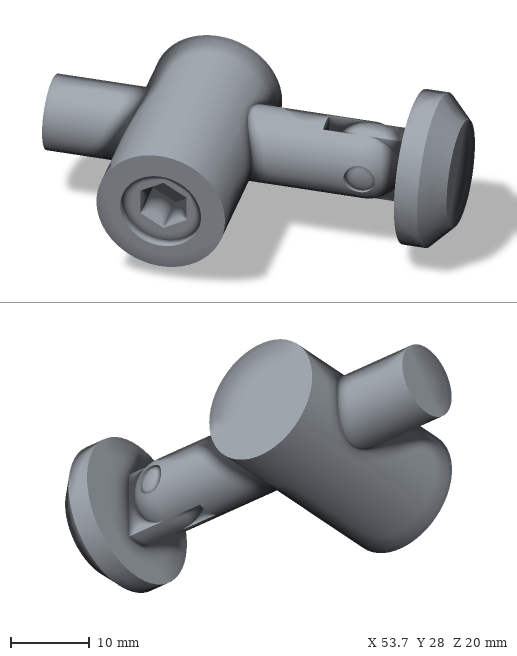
import cadquery as cq


BARREL_DIAMETER = 16.9
BARREL_FRONT_Y = -18.0
BARREL_LENGTH = 28.0
RECESS_DIAMETER = 10.6
RECESS_DEPTH = 1.35
HEX_ACROSS_FLATS = 6.0
HEX_DEPTH = 6.0

ROD_DIAMETER = 9.85
ROD_RADIUS = ROD_DIAMETER / 2
ROD_START_X = -19.1
PIVOT_X = 22.5
SLOT_START_X = 16.9
TONGUE_THICKNESS = 3.1

PIN_DIAMETER = 4.0
PIN_DOME_RADIUS = 4.5
PIN_LENGTH = 2 * PIN_DOME_RADIUS

FOOT_DIAMETER = 20.0
FOOT_START_X = 28.5
FOOT_END_X = 34.6
FOOT_THICKNESS = FOOT_END_X - FOOT_START_X
FOOT_CHAMFER = FOOT_THICKNESS / 2


def x_cylinder(diameter, start_x, end_x):
    """Cylinder on the X axis between two X positions."""
    return cq.Workplane("YZ", origin=(start_x, 0, 0)).circle(diameter / 2).extrude(end_x - start_x)


def y_cylinder(diameter, center_x, length):
    """Cylinder along Y, centred on the rod axis at the given X position."""
    return cq.Workplane("XZ", origin=(center_x, 0, 0)).circle(diameter / 2).extrude(length / 2, both=True)


def x_slab(start_x, end_x):
    """Flat slab of tongue thickness, taller than the rod."""
    return (
        cq.Workplane("XY")
        .box(end_x - start_x, TONGUE_THICKNESS, 2 * ROD_DIAMETER, centered=(False, True, True))
        .translate((start_x, 0, 0))
    )


def pivot_sphere(radius):
    """Sphere centred on the pivot."""
    return cq.Workplane("XY").sphere(radius).translate((PIVOT_X, 0, 0))


def make_clamp():
    """Barrel and rod in one piece, with the screw socket, tongue slot and pin hole."""
    barrel = (
        cq.Workplane("XZ", origin=(0, BARREL_FRONT_Y, 0))
        .circle(BARREL_DIAMETER / 2)
        .extrude(-BARREL_LENGTH)
    )
    rod = x_cylinder(ROD_DIAMETER, ROD_START_X, PIVOT_X).union(pivot_sphere(ROD_RADIUS))

    recess = (
        cq.Workplane("XZ", origin=(0, BARREL_FRONT_Y, 0))
        .circle(RECESS_DIAMETER / 2)
        .extrude(-RECESS_DEPTH)
    )
    hexagon = (
        cq.Workplane("XZ", origin=(0, BARREL_FRONT_Y + RECESS_DEPTH, 0))
        .polygon(6, HEX_ACROSS_FLATS, circumscribed=True)
        .extrude(-HEX_DEPTH)
    )
    slot = x_slab(SLOT_START_X, FOOT_START_X)
    pin_hole = y_cylinder(PIN_DIAMETER, PIVOT_X, 2 * ROD_DIAMETER)
    return barrel.union(rod).cut(recess).cut(hexagon).cut(slot).cut(pin_hole)


def make_foot():
    """Foot with the tongue and pivot pin that join it to the rod."""
    disc = x_cylinder(FOOT_DIAMETER, FOOT_START_X, FOOT_END_X).faces(">X").chamfer(FOOT_CHAMFER)
    round_bar = x_cylinder(ROD_DIAMETER, PIVOT_X, FOOT_START_X).union(pivot_sphere(ROD_RADIUS))
    tongue = round_bar.intersect(x_slab(SLOT_START_X, FOOT_START_X))
    pin = y_cylinder(PIN_DIAMETER, PIVOT_X, PIN_LENGTH).intersect(pivot_sphere(PIN_DOME_RADIUS))
    return disc.union(tongue).union(pin)


clamp = make_clamp()
foot = make_foot()

result = cq.Compound.makeCompound([clamp.val(), foot.val()])